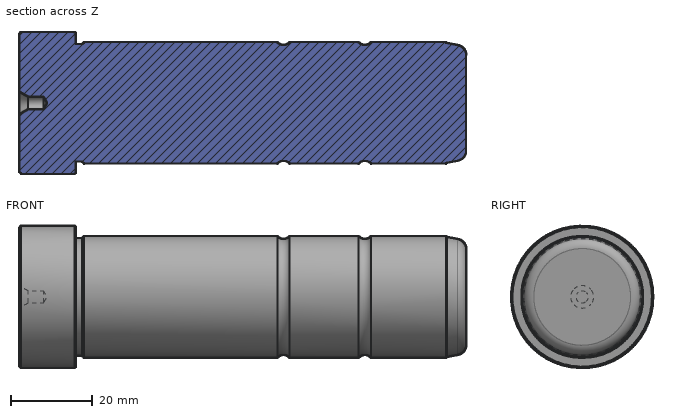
import cadquery as cq
import math

total_length = 110.0
head_diameter = 35.0
head_length = 14.0
head_front_chamfer = 0.5
head_rear_chamfer = 0.3
shaft_diameter = 30.0

neck_diameter = 29.0
neck_end = 15.5
neck_flank = (shaft_diameter - neck_diameter) / 2

groove_centres = (65.0, 85.0)
groove_width = 3.0
groove_depth = 0.7

lead_in_start = 105.15
edge_break = 0.2
nose_start_diameter = 28.6
nose_length = 2.2
end_face_diameter = 23.8

hole_diameter = 3.0
countersink_diameter = 5.6
countersink_angle = 60.0
hole_depth = 6.0
drill_point_angle = 120.0


def cone_length(large_diameter, small_diameter, included_angle):
    """Axial length of a cone between two diameters."""
    return (large_diameter - small_diameter) / 2 / math.tan(math.radians(included_angle / 2))


def revolve_about_x(profile):
    return profile.close().revolve(360, (0, 0, 0), (1, 0, 0))


def make_body():
    head_radius = head_diameter / 2
    neck_radius = neck_diameter / 2
    shaft_radius = shaft_diameter / 2
    nose_start = total_length - nose_length
    nose_start_radius = nose_start_diameter / 2
    end_face_radius = end_face_diameter / 2
    profile = (
        cq.Workplane("XY")
        .lineTo(0, head_radius - head_front_chamfer)
        .lineTo(head_front_chamfer, head_radius)
        .lineTo(head_length - head_rear_chamfer, head_radius)
        .lineTo(head_length, head_radius - head_rear_chamfer)
        .lineTo(head_length, neck_radius)
        .lineTo(neck_end, neck_radius)
        .lineTo(neck_end + neck_flank, shaft_radius)
        .lineTo(lead_in_start - edge_break, shaft_radius)
        .lineTo(lead_in_start, shaft_radius - edge_break)
        .lineTo(nose_start, nose_start_radius)
        .tangentArcPoint((total_length, end_face_radius), relative=False)
        .lineTo(total_length, 0)
    )
    return revolve_about_x(profile)


def make_groove_cutter(centre):
    shaft_radius = shaft_diameter / 2
    half_width = groove_width / 2
    profile = (
        cq.Workplane("XY")
        .moveTo(centre - half_width, shaft_radius)
        .threePointArc((centre, shaft_radius - groove_depth), (centre + half_width, shaft_radius))
        .lineTo(centre + half_width, head_diameter / 2)
        .lineTo(centre - half_width, head_diameter / 2)
    )
    return revolve_about_x(profile)


def make_centre_hole_cutter():
    countersink_depth = cone_length(countersink_diameter, hole_diameter, countersink_angle)
    drill_point = cone_length(hole_diameter, 0, drill_point_angle)
    profile = (
        cq.Workplane("XY")
        .lineTo(0, countersink_diameter / 2)
        .lineTo(countersink_depth, hole_diameter / 2)
        .lineTo(hole_depth, hole_diameter / 2)
        .lineTo(hole_depth + drill_point, 0)
    )
    return revolve_about_x(profile)


result = make_body().cut(make_centre_hole_cutter())
for groove_centre in groove_centres:
    result = result.cut(make_groove_cutter(groove_centre))